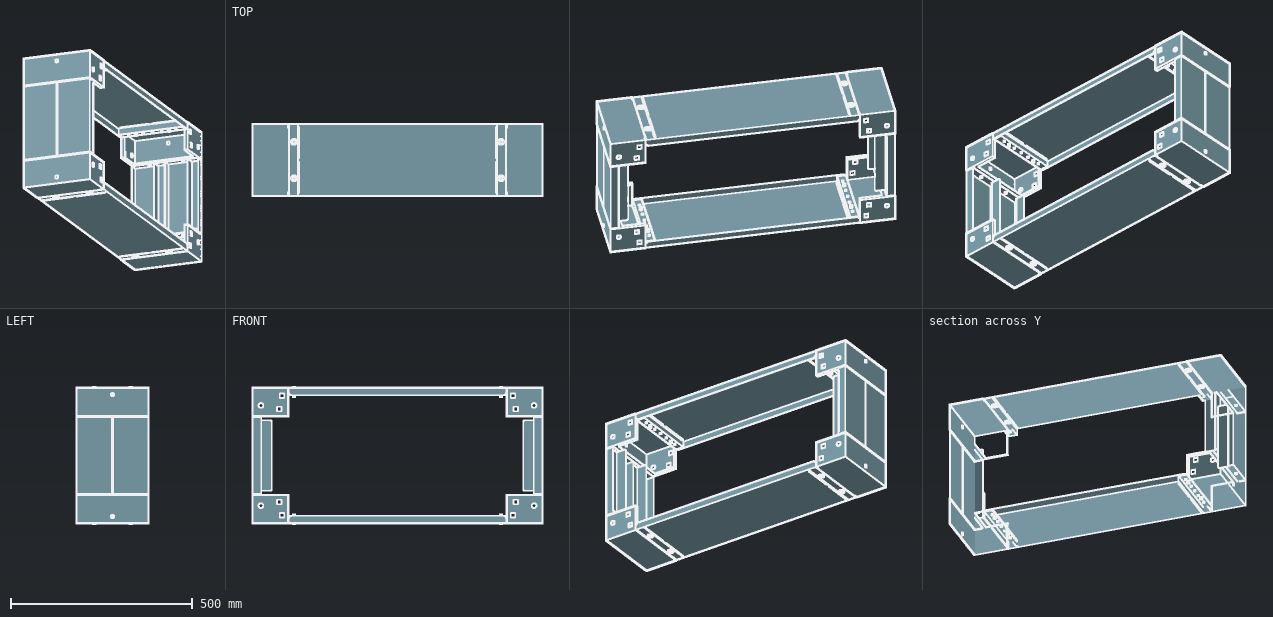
import cadquery as cq


length = 800.0
width = 200.0
height = 375.0
sheet = 2.0
half_length = length / 2
half_width = width / 2
half_height = height / 2

corner_length = 100.0
corner_height = 80.0
corner_lip = 11.0
round_hole = 12.5
square_hole = 12.0
round_hole_inset = (24.0, 49.5)
square_hole_insets = [(82.0, 23.0), (74.5, 59.5)]
end_hole = 9.0
end_hole_inset = 19.5

end_panel_depth = 25.0
end_panel_width = half_width
end_panel_height = height - 2 * corner_height
end_panel_bend = 2.0
end_panel_hole = 8.0
rib_reach = 29.0
rib_offset = 21.0
rib_height = 195.0
rib_corner = 5.0

long_panel_length = length - 2 * corner_length
long_panel_depth = 22.0
long_panel_bend = 3.0
flange_corner_cut = 6.0
channel_width = 27.0
channel_end_gap = 2.5
slit_width = 2.0
slit_bridge = 12.0
slit_end_inset = 10.0
strip_hole = 6.0
strip_hole_places = [-70.0, -28.0, 0.0, 28.0, 70.0]

screw_diameter = 8.0
screw_spacing = 100.0
screw_inset = 15.0
screw_rise = 1.35
screw_tail = 4.5
screw_access_hole = 17.0

corner_start = half_length - corner_length
corner_base = half_height - corner_height


def block(x_range, y_range, z_range):
    """Box spanning the given (low, high) range along each axis."""
    spans = [high - low for low, high in (x_range, y_range, z_range)]
    lows = (x_range[0], y_range[0], z_range[0])
    return cq.Workplane("XY").box(*spans, centered=False).translate(lows)


def upright_cylinder(diameter, x, y, z_range):
    """Cylinder along Z between the two heights."""
    low, high = z_range
    return cq.Workplane("XY", origin=(x, y, low)).circle(diameter / 2).extrude(high - low)


def make_corner():
    """Corner box at +X, +Z: lipped sheet box, open towards the middle of the frame."""
    inner_y = half_width - sheet
    opening_y = half_width - corner_lip
    inner_x = half_length - sheet
    inner_top = half_height - sheet
    lip_x = half_length - end_panel_depth - corner_lip

    body = block((corner_start, half_length), (-half_width, half_width), (corner_base, half_height))
    cavity = block((corner_start + sheet, inner_x), (-inner_y, inner_y), (corner_base + sheet, inner_top))
    side_opening = block((corner_start, lip_x), (-opening_y, opening_y), (corner_base, inner_top))
    body = body.cut(cavity).cut(side_opening)

    holes = cq.Workplane("XZ", origin=(half_length, half_width, half_height))
    round_x, round_z = round_hole_inset
    body = body.cut(holes.center(-round_x, -round_z).circle(round_hole / 2).extrude(width))
    square_places = [(-x, -z) for x, z in square_hole_insets]
    body = body.cut(holes.pushPoints(square_places).rect(square_hole, square_hole).extrude(width))

    end_place = (inner_x, 0, half_height - end_hole_inset)
    return body.cut(cq.Workplane("YZ", origin=end_place).circle(end_hole / 2).extrude(sheet))


def make_end_panel():
    """Half-width end panel at +X, from Y = 0 to +Y: shallow tray with a stepped stiffening rib."""
    half_panel = end_panel_height / 2
    tray_edge = half_length - end_panel_depth
    rib_edge = tray_edge - rib_reach
    rib_y = end_panel_width - rib_offset
    rib_half = rib_height / 2

    tray = block((tray_edge, half_length), (0, end_panel_width), (-half_panel, half_panel))
    tray = tray.faces(">X").edges().fillet(end_panel_bend)
    tray = tray.cut(
        block(
            (tray_edge, half_length - sheet),
            (sheet, end_panel_width - sheet),
            (sheet - half_panel, half_panel - sheet),
        )
    )
    lip = block((tray_edge, tray_edge + sheet), (rib_y, end_panel_width), (-rib_half, rib_half))
    rib = block((rib_edge, tray_edge + sheet), (rib_y, rib_y + sheet), (-rib_half, rib_half))
    rib = rib.edges("<X and |Y").fillet(rib_corner)
    hole = upright_cylinder(
        end_panel_hole, half_length - end_panel_depth / 2, end_panel_width / 2, (-half_panel, half_panel)
    )
    return tray.union(lip).union(rib).cut(hole)


def make_long_panel():
    """Upper long panel: flanged sheet with a box channel, slits and two screws at each end."""
    half_panel = long_panel_length / 2
    base = half_height - long_panel_depth
    face_inside = half_height - sheet
    inner_y = half_width - sheet
    channel_edge = half_panel - channel_width
    screw_x = half_panel - screw_inset

    body = block((-half_panel, half_panel), (-half_width, half_width), (base, half_height))
    body = body.faces(">Z").edges().fillet(long_panel_bend)
    body = body.edges("|Y and <Z").fillet(long_panel_bend)
    body = body.cut(block((-channel_edge, channel_edge), (-inner_y, inner_y), (base, face_inside)))

    for side in (-1, 1):
        gap_x = sorted((side * channel_edge, side * half_panel))
        gap_y = inner_y - channel_end_gap
        for y_range in ((gap_y, inner_y), (-inner_y, -gap_y)):
            body = body.cut(block(gap_x, y_range, (base, face_inside)))

        corner_cut = (
            cq.Workplane("XZ", origin=(side * half_panel, half_width, base))
            .polyline([(0, 0), (-side * flange_corner_cut, 0), (0, flange_corner_cut)])
            .close()
            .extrude(width)
        )
        between_flanges = block((-half_panel, half_panel), (-inner_y, inner_y), (base, half_height))
        body = body.cut(corner_cut.cut(between_flanges))

        inner_end = side * (half_panel - sheet)
        inner_edge = side * (channel_edge + sheet)
        channel_range = sorted((inner_end, inner_edge))
        body = body.cut(block(channel_range, (-inner_y, inner_y), (base + sheet, face_inside)))

        slit_range = sorted((side * channel_edge, side * (channel_edge - slit_width)))
        slit_low = slit_bridge / 2
        slit_high = half_width - slit_end_inset
        for y_range in ((slit_low, slit_high), (-slit_high, -slit_low)):
            body = body.cut(block(slit_range, y_range, (face_inside, half_height)))

        for y in strip_hole_places:
            body = body.cut(upright_cylinder(strip_hole, side * screw_x, y, (base, base + sheet)))

        for y in (-screw_spacing / 2, screw_spacing / 2):
            x = side * screw_x
            body = body.cut(upright_cylinder(screw_access_hole, x, y, (face_inside, half_height)))
            screw_range = (base - screw_tail, half_height + screw_rise)
            body = body.union(upright_cylinder(screw_diameter, x, y, screw_range))
    return body


upper_right_corner = make_corner()
lower_right_corner = upper_right_corner.mirror("XY")
right_corners = [upper_right_corner, lower_right_corner]
corners = right_corners + [corner.mirror("YZ") for corner in right_corners]

back_end_panel = make_end_panel()
front_end_panel = back_end_panel.translate((0, -end_panel_width, 0))
right_end_panels = [back_end_panel, front_end_panel]
end_panels = right_end_panels + [panel.mirror("YZ") for panel in right_end_panels]

upper_long_panel = make_long_panel()
long_panels = [upper_long_panel, upper_long_panel.mirror("XY")]

bodies = corners + end_panels + long_panels
result = cq.Compound.makeCompound([body.solids().val() for body in bodies])